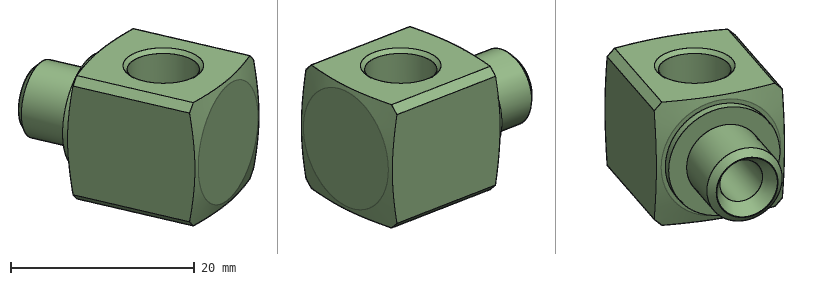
import cadquery as cq
import math

total_length = 24.0
block_width = 15.0
block_length = 16.0
edge_chamfer = 0.9

end_face_diameter = 14.0
end_cone_angle = 15.0

collar_length = 1.0
collar_diameter = 13.0
stem_diameter = 8.8
stem_chamfer = 0.8

bore_diameter = 5.0
countersink_diameter = 7.08
countersink_depth = 1.8

port_diameter = 7.9
port_mouth_diameter = 8.8
port_mouth_depth = 0.45
port_depth = 10.8
drill_point_angle = 118.0

block_start = -block_length / 2
block_end = block_length / 2
stem_start = block_end - total_length
block_top = block_width / 2


def make_block():
    """Square block with chamfered long edges and both ends turned to a cone."""
    square = cq.Workplane("XY").box(block_length, block_width, block_width)
    square = square.edges("|X").chamfer(edge_chamfer)
    face_radius = end_face_diameter / 2
    outer_radius = block_width / math.sqrt(2)
    cone_length = (outer_radius - face_radius) * math.tan(math.radians(end_cone_angle))
    envelope = (
        cq.Workplane("XY")
        .moveTo(block_start, 0)
        .lineTo(block_start, face_radius)
        .lineTo(block_start + cone_length, outer_radius)
        .lineTo(block_end - cone_length, outer_radius)
        .lineTo(block_end, face_radius)
        .lineTo(block_end, 0)
        .close()
        .revolve(360, (0, 0, 0), (1, 0, 0))
    )
    return square.intersect(envelope)


def make_stem():
    """Stem with a chamfered tip and a collar, reaching to the block centre."""
    stem_radius = stem_diameter / 2
    collar_radius = collar_diameter / 2
    collar_start = block_start - collar_length
    return (
        cq.Workplane("XY")
        .moveTo(stem_start, 0)
        .lineTo(stem_start, stem_radius - stem_chamfer)
        .lineTo(stem_start + stem_chamfer, stem_radius)
        .lineTo(collar_start, stem_radius)
        .lineTo(collar_start, collar_radius)
        .lineTo(0, collar_radius)
        .lineTo(0, 0)
        .close()
        .revolve(360, (0, 0, 0), (1, 0, 0))
    )


def make_bore():
    """Countersunk bore from the stem tip to the port axis."""
    bore_radius = bore_diameter / 2
    return (
        cq.Workplane("XY")
        .moveTo(stem_start, 0)
        .lineTo(stem_start, countersink_diameter / 2)
        .lineTo(stem_start + countersink_depth, bore_radius)
        .lineTo(0, bore_radius)
        .lineTo(0, 0)
        .close()
        .revolve(360, (0, 0, 0), (1, 0, 0))
    )


def make_port():
    """Blind drilled port with a chamfered mouth and a conical bottom."""
    port_radius = port_diameter / 2
    port_floor = block_top - port_depth
    point_depth = port_radius / math.tan(math.radians(drill_point_angle / 2))
    return (
        cq.Workplane("XZ")
        .moveTo(0, block_top)
        .lineTo(port_mouth_diameter / 2, block_top)
        .lineTo(port_radius, block_top - port_mouth_depth)
        .lineTo(port_radius, port_floor)
        .lineTo(0, port_floor - point_depth)
        .close()
        .revolve(360, (0, 0, 0), (0, 1, 0))
    )


result = make_block().union(make_stem()).cut(make_bore()).cut(make_port())